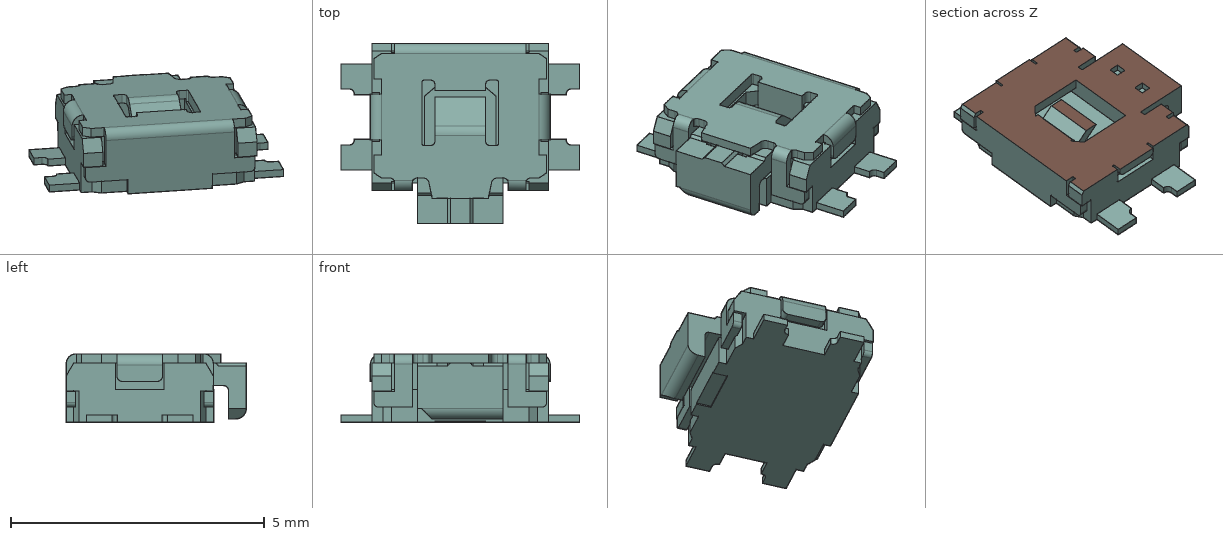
import cadquery as cq
import math


overall_height = 1.35
sheet = 0.18
base_half_x = 1.74
body_half_y = 1.45
base_top = overall_height - sheet

wing_bottom = 0.62
wing_inner_x = 1.355
wing_chamfer_y = 0.15
wing_chamfer_z = 0.26
upper_half_y = body_half_y - sheet
ledge_z = 0.645
ledge_half_y = 1.30
corner_half_y = 1.20
corner_inner_x = 1.525
front_block_y = 1.46
plunger_slot_half_x = 0.945
plunger_slot_depth_y = 1.00
underside_groove_half_x = 0.50
underside_groove_depth = 0.03
underside_groove_length = 0.30

cover_half_x = 1.70
cover_waist_half_x = 1.55
cover_waist_half_y = 0.75
cover_back_y = 1.25
cover_front_y = -1.20
cover_corner_y = 0.10
lip_root_half_x = 0.635
lip_tip_half_x = 0.555
lip_tip_y = -1.60
lip_fillet = 0.115
leg_outer_x = 1.29
leg_inner_x = 0.945
leg_bend = 0.20
leg_root_fillet = 0.10
foot_bottom = 0.30
foot_top = 0.61
foot_fillet = 0.09
tab_half_y = 0.45
tab_bend = 0.225
tab_bottom = 0.805
tab_fillet = 0.11
tab_pocket_half_y = 0.48
tab_pocket_bottom = 0.65

tongue_half_x = 0.50
slot_outer_x = 0.75
slot_back_y = 0.725
slot_front_y = -0.56
slot_inner_fillet = 0.08
slot_outer_fillet = 0.03
window_back_y = 0.525
tongue_root_y = -0.36
tongue_tip_y = 0.39
tongue_angle = 41.0
tongue_bend = 0.28

window_bottom = 1.11
cavity_front_y = -0.70
cavity_half_x = 0.705
cavity_corner_y = 0.41
cavity_back_y = 0.585
undercut_top = 0.78
undercut_floor = 0.60
undercut_half_x = 1.00
undercut_back_y = 0.95

plunger_half_x = 0.845
plunger_front_y = -2.10
plunger_inner_y = -0.90
plunger_step_z = 1.11
plunger_step_y = -1.50
plunger_step_run = 0.05
plunger_pit_half_x = 0.455
plunger_pit_front_y = -1.59
plunger_pit_back_y = -1.40
plunger_pit_floor = 0.86
arm_bottom = 0.72
arm_fillet = 0.09
head_back_y = -1.745
head_bottom = 0.065
head_bevel_top = 0.275
head_fillet = 0.21
head_bevel_x = -0.765
rib_top_half_x = 0.195
rib_root_half_x = 0.255

terminal_half_x = 2.35
terminal_thickness = 0.145
terminal_inner_y = 0.435
terminal_notch_y = 0.55
terminal_outer_y = 1.045
terminal_notch_x = 2.09
terminal_fillet = 0.095


def block(x0, x1, y0, y1, z0, z1):
    """Box between two opposite corners."""
    return cq.Workplane("XY").box(x1 - x0, y1 - y0, z1 - z0, centered=False).translate((x0, y0, z0))


def prism(points, z0, z1):
    """Vertical prism over a closed XY outline."""
    return cq.Workplane("XY").workplane(offset=z0).polyline(points).close().extrude(z1 - z0)


def with_mirror(points):
    """Complete a right-hand outline (back to front) with its mirror image in X."""
    return points + [(-x, y) for x, y in reversed(points)]


def make_lower_base():
    half = [
        (plunger_half_x, body_half_y),
        (plunger_half_x, ledge_half_y),
        (wing_inner_x, ledge_half_y),
        (corner_inner_x, corner_half_y),
        (base_half_x, corner_half_y),
        (base_half_x, -corner_half_y),
        (corner_inner_x, -corner_half_y),
        (wing_inner_x, -ledge_half_y),
        (plunger_half_x, -ledge_half_y),
        (plunger_half_x, -front_block_y),
    ]
    lower = prism(with_mirror(half), 0, ledge_z)
    groove = block(
        -underside_groove_half_x, underside_groove_half_x,
        -front_block_y, -front_block_y + underside_groove_length,
        0, underside_groove_depth,
    )
    return lower.cut(groove)


def make_upper_base():
    chamfer_inner_y = body_half_y - wing_chamfer_y
    chamfer_start_z = base_top - wing_chamfer_z
    profile = [
        (-body_half_y, wing_bottom),
        (-body_half_y, chamfer_start_z),
        (-chamfer_inner_y, base_top),
        (chamfer_inner_y, base_top),
        (body_half_y, chamfer_start_z),
        (body_half_y, wing_bottom),
    ]
    upper = cq.Workplane("YZ").polyline(profile).close().extrude(base_half_x, both=True)
    for y0, y1 in ((upper_half_y, body_half_y), (-body_half_y, -upper_half_y)):
        upper = upper.cut(block(-wing_inner_x, wing_inner_x, y0, y1, wing_bottom, base_top))
    return upper


def make_base():
    base = make_upper_base()
    plunger_slot = block(
        -plunger_slot_half_x, plunger_slot_half_x,
        -body_half_y, -plunger_slot_depth_y,
        wing_bottom, base_top,
    )
    base = base.cut(plunger_slot).union(make_lower_base())

    pocket_inner_x = cover_waist_half_x + tab_bend - sheet
    for x0, x1 in ((pocket_inner_x, base_half_x), (-base_half_x, -pocket_inner_x)):
        base = base.cut(
            block(x0, x1, -tab_pocket_half_y, tab_pocket_half_y, tab_pocket_bottom, base_top)
        )
    return base.cut(make_cavity())


def make_cavity():
    """Hollow under the window, undercut lower down, with a solid pier behind the tongue tip."""
    half = [
        (tongue_half_x, cavity_back_y),
        (cavity_half_x, cavity_corner_y),
        (cavity_half_x, cavity_front_y),
    ]
    hollow = prism(with_mirror(half), undercut_top, base_top)
    undercut = block(
        -undercut_half_x, undercut_half_x,
        cavity_front_y, undercut_back_y,
        undercut_floor, undercut_top,
    )
    pier = block(-tongue_half_x, tongue_half_x, window_back_y, undercut_back_y, undercut_floor, base_top)
    return make_window(window_bottom, base_top).union(hollow).union(undercut).cut(pier)


def make_cover_plate():
    stub_end_y = -body_half_y
    half = [
        (cover_waist_half_x, cover_back_y),
        (cover_half_x, cover_back_y - cover_corner_y),
        (cover_half_x, cover_waist_half_y),
        (cover_waist_half_x, cover_waist_half_y),
        (cover_waist_half_x, -cover_waist_half_y),
        (cover_half_x, -cover_waist_half_y),
        (cover_half_x, cover_front_y + cover_corner_y),
        (cover_waist_half_x, cover_front_y),
        (leg_outer_x, cover_front_y),
        (leg_outer_x, stub_end_y),
        (leg_inner_x, stub_end_y),
        (leg_inner_x, cover_front_y),
        (lip_root_half_x, cover_front_y),
        (lip_tip_half_x, lip_tip_y),
    ]
    plate = prism(with_mirror(half), base_top, overall_height)
    leg_roots = []
    lip_roots = []
    for side in (-1, 1):
        leg_roots += [(side * leg_outer_x, cover_front_y), (side * leg_inner_x, cover_front_y)]
        lip_roots.append((side * lip_root_half_x, cover_front_y))
    plate = fillet_upright_edges(plate, leg_roots, leg_root_fillet)
    plate = fillet_upright_edges(plate, lip_roots, lip_fillet)
    for x0, x1 in ((plunger_half_x, cover_half_x), (-cover_half_x, -plunger_half_x)):
        plate = plate.cut(block(x0, x1, stub_end_y, -cover_back_y, base_top, overall_height))
    return plate.cut(make_window(base_top, overall_height))


def fillet_upright_edges(body, places, radius):
    """Round the vertical edges of a body that stand at the given XY places."""
    reach = 0.005
    for x, y in places:
        picker = cq.selectors.BoxSelector(
            (x - reach, y - reach, 0), (x + reach, y + reach, overall_height)
        )
        body = body.edges("|Z").edges(picker).fillet(radius)
    return body


def make_window(bottom, top):
    """H-shaped opening: two side slots joined by the gap at the tongue tip."""
    window = block(-tongue_half_x, tongue_half_x, tongue_root_y, window_back_y, bottom, top)
    for side in (-1, 1):
        x0, x1 = sorted((side * tongue_half_x, side * slot_outer_x))
        slot = block(x0, x1, slot_front_y, slot_back_y, bottom, top)
        inner, outer = ("<X", ">X") if side > 0 else (">X", "<X")
        slot = slot.faces(inner).edges("|Z").fillet(slot_inner_fillet)
        slot = slot.faces(outer).edges("|Z").fillet(slot_outer_fillet)
        window = window.union(slot)
    return window


def make_tongue():
    """Spring tongue bending down from the front of the window towards +Y."""
    angle = math.radians(tongue_angle)
    centre_z = overall_height - tongue_bend
    inner_bend = tongue_bend - sheet

    def on_bend(radius, turn):
        return (tongue_root_y + radius * math.sin(turn), centre_z + radius * math.cos(turn))

    bend_end_y, bend_end_z = on_bend(tongue_bend, angle)
    run = tongue_tip_y - bend_end_y
    tip = (tongue_tip_y, bend_end_z - run * math.tan(angle))
    tip_under = (tip[0] - sheet * math.sin(angle), tip[1] - sheet * math.cos(angle))
    return (
        cq.Workplane("YZ")
        .moveTo(*on_bend(tongue_bend, 0))
        .threePointArc(on_bend(tongue_bend, angle / 2), on_bend(tongue_bend, angle))
        .lineTo(*tip)
        .lineTo(*tip_under)
        .lineTo(*on_bend(inner_bend, angle))
        .threePointArc(on_bend(inner_bend, angle / 2), on_bend(inner_bend, 0))
        .close()
        .extrude(tongue_half_x, both=True)
    )


def make_flange(plane, edge, bend, bottom, half_width):
    """Strip that leaves the cover plate at `edge`, bends down and ends at `bottom`."""
    inner_bend = bend - sheet
    bend_z = overall_height - bend
    diagonal = math.sqrt(0.5)
    return (
        cq.Workplane(plane)
        .moveTo(edge, overall_height)
        .threePointArc(
            (edge + bend * diagonal, bend_z + bend * diagonal), (edge + bend, bend_z)
        )
        .lineTo(edge + bend, bottom)
        .lineTo(edge + inner_bend, bottom)
        .lineTo(edge + inner_bend, bend_z)
        .threePointArc(
            (edge + inner_bend * diagonal, bend_z + inner_bend * diagonal), (edge, base_top)
        )
        .close()
        .extrude(half_width, both=True)
    )


def make_back_flange():
    """Full-width rear wall of the cover with feet reaching under the base corners."""
    wall = make_flange("YZ", cover_back_y, leg_bend, foot_bottom, leg_outer_x)
    feet = block(-cover_half_x, cover_half_x, upper_half_y, body_half_y, foot_bottom, foot_top)
    feet = feet.edges("|Y and <Z").fillet(foot_fillet)
    return wall.union(feet)


def make_front_legs():
    """The rear wall mirrored to the front and opened in the middle for the plunger."""
    legs = make_back_flange().mirror("XZ")
    opening = block(-leg_inner_x, leg_inner_x, -body_half_y, 0, 0, overall_height)
    return legs.cut(opening)


def make_side_tab():
    tab = make_flange("XZ", cover_waist_half_x, tab_bend, tab_bottom, tab_half_y)
    return tab.edges("|X and <Z").fillet(tab_fillet)


def make_cover():
    cover = make_cover_plate()
    cover = cover.union(make_tongue())
    cover = cover.union(make_back_flange()).union(make_front_legs())
    tab = make_side_tab()
    return cover.union(tab).union(tab.mirror("YZ"))


def make_plunger():
    profile = [
        (plunger_inner_y, base_top),
        (plunger_inner_y, arm_bottom),
        (head_back_y, arm_bottom),
        (head_back_y, head_bottom),
        (plunger_front_y, head_bottom),
        (plunger_front_y, plunger_step_z),
        (plunger_step_y - plunger_step_run, plunger_step_z),
        (plunger_step_y, base_top),
    ]
    plunger = cq.Workplane("YZ").polyline(profile).close().extrude(plunger_half_x, both=True)
    arm_corner = cq.selectors.NearestToPointSelector((0, head_back_y, arm_bottom))
    plunger = plunger.edges("|X").edges(arm_corner).fillet(arm_fillet)
    head_edge = cq.selectors.NearestToPointSelector((0, plunger_front_y, head_bottom))
    plunger = plunger.edges("|X").edges(head_edge).fillet(head_fillet)

    bevel_drop = head_bevel_top - head_bottom
    bevel = (
        cq.Workplane("XZ")
        .polyline([
            (-plunger_half_x, head_bevel_top),
            (head_bevel_x, head_bevel_top),
            (head_bevel_x + bevel_drop, head_bottom),
            (-plunger_half_x, head_bottom),
        ])
        .close()
        .extrude(-plunger_front_y)
    )
    rib = (
        cq.Workplane("XZ", origin=(0, plunger_pit_back_y, 0))
        .polyline([
            (-rib_root_half_x, plunger_step_z),
            (-rib_top_half_x, base_top),
            (rib_top_half_x, base_top),
            (rib_root_half_x, plunger_step_z),
        ])
        .close()
        .extrude(plunger_pit_back_y - plunger_front_y)
    )
    plunger = plunger.cut(bevel)
    for x0, x1 in ((rib_root_half_x, plunger_pit_half_x), (-plunger_pit_half_x, -rib_root_half_x)):
        plunger = plunger.cut(
            block(x0, x1, plunger_pit_front_y, plunger_pit_back_y, plunger_pit_floor, base_top)
        )
    return plunger.union(rib)


def make_terminal():
    """Flat terminal in the +X +Y quadrant with a rounded notch in its inner edge."""
    outline = [
        (cover_waist_half_x, terminal_outer_y),
        (terminal_half_x, terminal_outer_y),
        (terminal_half_x, terminal_notch_y),
        (terminal_notch_x, terminal_notch_y),
        (terminal_notch_x, terminal_inner_y),
        (cover_waist_half_x, terminal_inner_y),
    ]
    terminal = prism(outline, 0, terminal_thickness)
    return fillet_upright_edges(terminal, [(terminal_notch_x, terminal_notch_y)], terminal_fillet)


result = make_base().union(make_cover()).union(make_plunger())
right_back_terminal = make_terminal()
right_front_terminal = right_back_terminal.mirror("XZ")
for terminal in (right_back_terminal, right_front_terminal):
    result = result.union(terminal).union(terminal.mirror("YZ"))
result = result.clean()